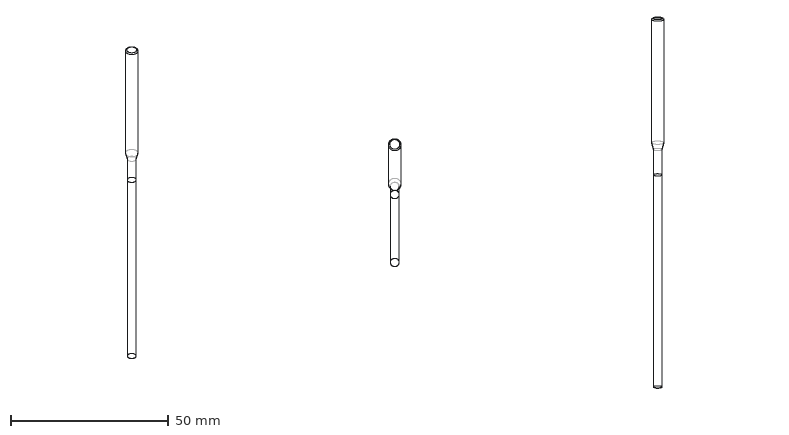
import cadquery as cq
import math

overall_length = 122.0
shank_diameter = 4.0
drill_diameter = 2.8
shank_length = 41.0
shank_chamfer = 0.4
taper_half_angle = 15.0
cutting_length = 70.4
point_angle = 140.0

shank_radius = shank_diameter / 2
drill_radius = drill_diameter / 2
point_height = drill_radius / math.tan(math.radians(point_angle / 2))
taper_length = (shank_radius - drill_radius) / math.tan(math.radians(taper_half_angle))

bottom_z = -overall_length / 2
top_z = bottom_z + overall_length
point_shoulder_z = bottom_z + point_height
cutting_top_z = bottom_z + cutting_length
shank_bottom_z = top_z - shank_length
neck_top_z = shank_bottom_z - taper_length


def revolve_about_z(radius_height_points):
    """Turn a closed (radius, height) outline on the -Y side into a full solid about Z."""
    outline = [(-radius, height) for radius, height in radius_height_points]
    return cq.Workplane("YZ").polyline(outline).close().revolve(360, (0, 0), (0, 1))


def make_cutting_part():
    """Cylinder with a conical drill point at its lower end."""
    return revolve_about_z([
        (0, bottom_z),
        (drill_radius, point_shoulder_z),
        (drill_radius, cutting_top_z),
        (0, cutting_top_z),
    ])


def make_shank():
    """Neck, taper and chamfered shank, seated on top of the cutting part."""
    return revolve_about_z([
        (0, cutting_top_z),
        (drill_radius, cutting_top_z),
        (drill_radius, neck_top_z),
        (shank_radius, shank_bottom_z),
        (shank_radius, top_z - shank_chamfer),
        (shank_radius - shank_chamfer, top_z),
        (0, top_z),
    ])


cutting_part = make_cutting_part()
shank = make_shank()

result = cq.Compound.makeCompound([cutting_part.val(), shank.val()])